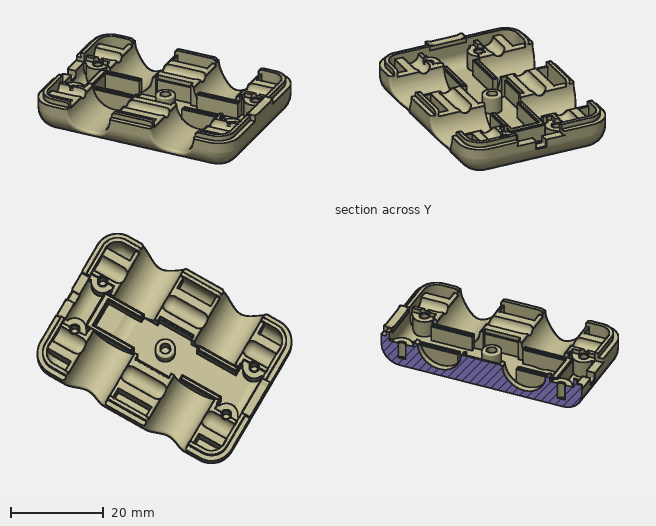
import cadquery as cq
import math

LENGTH = 47.65
WIDTH = 34.69
SHOULDER_Z = 6.87
LIP_Z = 8.0
TOTAL_HEIGHT = 8.24
CORNER_RADIUS = 5.0
BOTTOM_RADIUS = 4.5
WALL = 2.0
LIP_INSET = 1.15
FLOOR_Z = 2.0
ROOT_Z = FLOOR_Z / 2
LEDGE_Z = SHOULDER_Z - 1.0

CHANNEL_X = 10.03
CHANNEL_RADIUS = 5.1
MOUTH_FILLET = 0.55
EDGE_ROUND = 0.5
LIP_END_ROUND = 0.8

BAY_HALF_WIDTH = 4.3
END_BAY_HALF_WIDTH = 5.16
END_BAY_X = 16.0
CENTRE_BAY_HALF_LENGTH = 4.17
CENTRE_BAY_HALF_WIDTH = 5.05
CENTRE_LEDGE_HALF_WIDTH = 5.46

POCKET_Y = 12.8
POCKET_CORNER_X = END_BAY_X
POCKET_CENTRE_HALF_LENGTH = 4.15
TROUGH_Y = 8.98
TROUGH_RADIUS = 1.87
TROUGH_END_OFFSET = 6.5

BOSS_X = 18.9
BOSS_Y = 6.07
BOSS_RADIUS = 2.5
BOSS_HOLE_DIAMETER = 1.85
BOSS_RECESS_DIAMETER = 2.25
BOSS_LEDGE_X = 16.2
BOSS_LEDGE_Y = 6.27
HUB_X = 0.2
HUB_DIAMETER = 4.25
HUB_HOLE_DIAMETER = 2.25
HUB_TOP_ROUND = 0.2

WALL_INNER_Y = 3.15
WALL_OUTER_Y = BAY_HALF_WIDTH
WALL_CHAMFER = 0.25
CROSS_WALL_X = (-17.3, -15.75)
LEFT_WALL_END_BACK = -7.57
LEFT_WALL_END_FRONT = -5.77
RIGHT_WALL_X = (6.24, END_BAY_X)

TAB_HALF_WIDTH = 4.4
TAB_OVERHANG = 0.05
TAB_OVERHANG_Z = 7.0
RIDGE_TOP_Y = 3.9
RIDGE_BASE_Y = 3.15
NOTCH_HALF_WIDTH = 5.45
NOTCH_ROUND = 0.35
SLOT_HALF_WIDTH = 1.12
SLOT_BOTTOM_Z = 4.2
SLOT_CHAMFER = 0.2
SLOT_ROUND = 0.25
FLARE_ANGLE = 45

INNER_X = LENGTH / 2 - WALL
INNER_Y = WIDTH / 2 - WALL
SIDES = (-1, 1)


def block(x0, x1, y0, y1, z0, z1):
    """Box between two corners; the X and Y limits may come in either order."""
    centre = ((x0 + x1) / 2, (y0 + y1) / 2, z0)
    return cq.Workplane("XY", origin=centre).rect(abs(x1 - x0), abs(y1 - y0)).extrude(z1 - z0)


def rounded_block(inset, z0, z1):
    """Tray outline moved inwards by inset, between two levels."""
    solid = block(-LENGTH / 2 + inset, LENGTH / 2 - inset, -WIDTH / 2 + inset, WIDTH / 2 - inset, z0, z1)
    return solid.edges("|Z").fillet(CORNER_RADIUS - inset)


def upright_cylinder(x, y, radius, z0, z1):
    return cq.Workplane("XY", origin=(x, y, z0)).circle(radius).extrude(z1 - z0)


def along_y(profile, y0, y1):
    """Extrude an XZ profile between two Y positions."""
    return profile.extrude(y1 - y0).translate((0, y1, 0))


def channel_cutter(x, y0, y1):
    profile = (
        cq.Workplane("XZ")
        .moveTo(x - CHANNEL_RADIUS, SHOULDER_Z)
        .threePointArc((x, SHOULDER_Z - CHANNEL_RADIUS), (x + CHANNEL_RADIUS, SHOULDER_Z))
        .lineTo(x + CHANNEL_RADIUS, TOTAL_HEIGHT)
        .lineTo(x - CHANNEL_RADIUS, TOTAL_HEIGHT)
        .close()
    )
    return along_y(profile, y0, y1)


def edge_round_cutter(x, top_z, radius, y0, y1):
    """Rounds both long top edges of a channel at the given level."""
    edge = CHANNEL_RADIUS
    outer = edge + radius
    low_z = top_z - radius
    middle = radius * (1 - math.sqrt(0.5))
    profile = (
        cq.Workplane("XZ")
        .moveTo(x - edge, low_z)
        .threePointArc((x - edge - middle, top_z - middle), (x - outer, top_z))
        .lineTo(x + outer, top_z)
        .threePointArc((x + edge + middle, top_z - middle), (x + edge, low_z))
        .close()
    )
    return along_y(profile, y0, y1)


def outer_body():
    """Rounded tray body with the channels cut and their outer mouths rounded."""
    body = rounded_block(0, 0, SHOULDER_Z).faces("<Z").edges().fillet(BOTTOM_RADIUS)
    for x in (-CHANNEL_X, CHANNEL_X):
        body = body.cut(channel_cutter(x, BAY_HALF_WIDTH, WIDTH))
        body = body.cut(channel_cutter(x, -WIDTH, -BAY_HALF_WIDTH))
    mouth_y = WIDTH / 2 - BOTTOM_RADIUS
    reach = CHANNEL_RADIUS + EDGE_ROUND
    for x in (-CHANNEL_X, CHANNEL_X):
        for side in SIDES:
            zone = cq.selectors.BoxSelector(
                (x - reach, side * mouth_y, 0),
                (x + reach, side * WIDTH, SHOULDER_Z - EDGE_ROUND),
                boundingbox=False,
            )
            body = body.edges(zone).edges("not |Y").fillet(MOUTH_FILLET)
    return body


def lip():
    ring = rounded_block(LIP_INSET, SHOULDER_Z, LIP_Z).cut(rounded_block(WALL, SHOULDER_Z, LIP_Z))
    for x in (-CHANNEL_X, CHANNEL_X):
        ring = ring.cut(channel_cutter(x, -WIDTH, WIDTH))
        ring = ring.cut(edge_round_cutter(x, LIP_Z, LIP_END_ROUND, -WIDTH, WIDTH))
    return ring


def cavity():
    """Hollow of the tray: central bay plus the six pockets along the long sides."""
    inner = rounded_block(WALL, FLOOR_Z, SHOULDER_Z).faces("<Z").edges().fillet(BOTTOM_RADIUS - WALL)
    plan = block(-LENGTH, LENGTH, -BAY_HALF_WIDTH, BAY_HALF_WIDTH, FLOOR_Z, SHOULDER_Z)
    centre = CENTRE_BAY_HALF_LENGTH
    plan = plan.union(
        block(-centre, centre, -CENTRE_BAY_HALF_WIDTH, CENTRE_BAY_HALF_WIDTH, FLOOR_Z, SHOULDER_Z)
    )
    pocket = POCKET_CENTRE_HALF_LENGTH
    bay = END_BAY_HALF_WIDTH
    for side in SIDES:
        plan = plan.union(block(side * END_BAY_X, side * LENGTH, -bay, bay, FLOOR_Z, SHOULDER_Z))
        plan = plan.union(block(-pocket, pocket, side * POCKET_Y, side * WIDTH, FLOOR_Z, SHOULDER_Z))
        for end in SIDES:
            plan = plan.union(
                block(end * POCKET_CORNER_X, end * LENGTH, side * POCKET_Y, side * WIDTH, FLOOR_Z, SHOULDER_Z)
            )
    return inner.intersect(plan)


def trough(x0, x1, y):
    """Round trough along X, straight from x0 to x1 and closed by a ball end beyond x1."""
    bend = TROUGH_RADIUS * math.sqrt(0.5)
    cutter = (
        cq.Workplane("XZ")
        .moveTo(x0, 0)
        .lineTo(x0, TROUGH_RADIUS)
        .lineTo(x1, TROUGH_RADIUS)
        .threePointArc((x1 + bend, bend), (x1 + TROUGH_RADIUS, 0))
        .close()
        .revolve(360, (0, 0, 0), (1, 0, 0))
    )
    return cutter.translate((0, y, SHOULDER_Z))


def cut_troughs(body):
    centre_end = CHANNEL_X - TROUGH_END_OFFSET
    side_end = CHANNEL_X + TROUGH_END_OFFSET
    for y in (-TROUGH_Y, TROUGH_Y):
        for cutter in (trough(0, centre_end, y), trough(-INNER_X, -side_end, y)):
            body = body.cut(cutter).cut(cutter.mirror("YZ"))
    return body


def cut_ledges(body):
    centre = CENTRE_BAY_HALF_LENGTH
    body = body.cut(
        block(-centre, centre, -CENTRE_LEDGE_HALF_WIDTH, CENTRE_LEDGE_HALF_WIDTH, LEDGE_Z, SHOULDER_Z)
    )
    for side in SIDES:
        body = body.cut(
            block(side * BOSS_LEDGE_X, side * INNER_X, -BOSS_LEDGE_Y, BOSS_LEDGE_Y, LEDGE_Z, SHOULDER_Z)
        )
    return body


def bay_wall(x0, x1, y0, y1):
    wall = block(x0, x1, y0, y1, ROOT_Z, LEDGE_Z)
    return wall.faces(">Z").edges().chamfer(WALL_CHAMFER)


def battery_walls():
    """U-shaped wall on the left, one chamfered outline around all three legs."""
    outer_x, inner_x = CROSS_WALL_X
    outline = [
        (LEFT_WALL_END_BACK, WALL_OUTER_Y),
        (outer_x, WALL_OUTER_Y),
        (outer_x, -WALL_OUTER_Y),
        (LEFT_WALL_END_FRONT, -WALL_OUTER_Y),
        (LEFT_WALL_END_FRONT, -WALL_INNER_Y),
        (inner_x, -WALL_INNER_Y),
        (inner_x, WALL_INNER_Y),
        (LEFT_WALL_END_BACK, WALL_INNER_Y),
    ]
    wall = cq.Workplane("XY", origin=(0, 0, ROOT_Z)).polyline(outline).close().extrude(LEDGE_Z - ROOT_Z)
    return wall.faces(">Z").edges().chamfer(WALL_CHAMFER)


def add_bay_walls(body):
    groove = channel_cutter(-CHANNEL_X, -BAY_HALF_WIDTH, BAY_HALF_WIDTH)
    body = body.cut(groove).union(battery_walls())
    for side in SIDES:
        body = body.union(bay_wall(*RIGHT_WALL_X, side * WALL_INNER_Y, side * WALL_OUTER_Y))
    return body


def add_bosses(body):
    hole = BOSS_HOLE_DIAMETER / 2
    recess = BOSS_RECESS_DIAMETER / 2
    taper = recess - hole
    drill = (
        cq.Workplane("XZ")
        .polyline(
            [(0, FLOOR_Z), (hole, FLOOR_Z), (hole, LEDGE_Z - taper), (recess, LEDGE_Z),
             (recess, SHOULDER_Z), (0, SHOULDER_Z)]
        )
        .close()
        .revolve(360, (0, 0, 0), (0, 1, 0))
    )
    for x in (-BOSS_X, BOSS_X):
        for y in (-BOSS_Y, BOSS_Y):
            boss = upright_cylinder(x, y, BOSS_RADIUS, ROOT_Z, LEDGE_Z)
            body = body.union(boss).cut(drill.translate((x, y, 0)))
    return body


def add_hub(body):
    hub = upright_cylinder(HUB_X, 0, HUB_DIAMETER / 2, ROOT_Z, LEDGE_Z)
    hub = hub.faces(">Z").edges().fillet(HUB_TOP_ROUND)
    return body.union(hub).cut(upright_cylinder(HUB_X, 0, HUB_HOLE_DIAMETER / 2, FLOOR_Z, LEDGE_Z))


def latch_tab():
    profile = [
        (-TAB_HALF_WIDTH, SHOULDER_Z),
        (-TAB_HALF_WIDTH, TOTAL_HEIGHT),
        (-RIDGE_TOP_Y, TOTAL_HEIGHT),
        (-RIDGE_BASE_Y, LIP_Z),
        (RIDGE_BASE_Y, LIP_Z),
        (RIDGE_TOP_Y, TOTAL_HEIGHT),
        (TAB_HALF_WIDTH, TOTAL_HEIGHT),
        (TAB_HALF_WIDTH, SHOULDER_Z),
    ]
    tab = cq.Workplane("YZ", origin=(INNER_X, 0, 0)).polyline(profile).close().extrude(WALL)
    overhang = block(INNER_X - TAB_OVERHANG, INNER_X, -TAB_HALF_WIDTH, TAB_HALF_WIDTH, TAB_OVERHANG_Z, LIP_Z)
    return tab.union(overhang)


def cut_latch_notch(body):
    notch = block(-LENGTH / 2, -INNER_X, -NOTCH_HALF_WIDTH, NOTCH_HALF_WIDTH, LEDGE_Z, LIP_Z)
    body = body.cut(notch)
    corner_height = (LEDGE_Z + SHOULDER_Z) / 2
    for side in SIDES:
        corner = cq.selectors.NearestToPointSelector((-LENGTH / 2, side * NOTCH_HALF_WIDTH, corner_height))
        body = body.edges("|Z").edges(corner).fillet(NOTCH_ROUND)
    slot = block(-LENGTH / 2, -INNER_X, -SLOT_HALF_WIDTH, SLOT_HALF_WIDTH, SLOT_BOTTOM_Z, LIP_Z)
    slot = slot.edges("|X and <Z").fillet(SLOT_ROUND)
    flare_bottom_z = SLOT_BOTTOM_Z - SLOT_CHAMFER
    flare_height = LIP_Z - flare_bottom_z
    flare = (
        cq.Workplane("YZ", origin=(-LENGTH / 2, 0, flare_bottom_z + flare_height / 2))
        .sketch()
        .rect(2 * (SLOT_HALF_WIDTH + SLOT_CHAMFER), flare_height)
        .vertices()
        .fillet(SLOT_ROUND + SLOT_CHAMFER)
        .finalize()
        .extrude(SLOT_CHAMFER, taper=FLARE_ANGLE)
    )
    return body.cut(slot).cut(flare)


def build():
    body = outer_body()
    body = body.cut(cavity())
    for x in (-CHANNEL_X, CHANNEL_X):
        body = body.cut(edge_round_cutter(x, SHOULDER_Z, EDGE_ROUND, BAY_HALF_WIDTH, INNER_Y))
        body = body.cut(edge_round_cutter(x, SHOULDER_Z, EDGE_ROUND, -INNER_Y, -BAY_HALF_WIDTH))
    body = cut_ledges(body)
    body = add_bay_walls(body)
    body = add_bosses(body)
    body = cut_troughs(body)
    body = add_hub(body)
    body = body.union(lip()).union(latch_tab())
    return cut_latch_notch(body)


result = build()